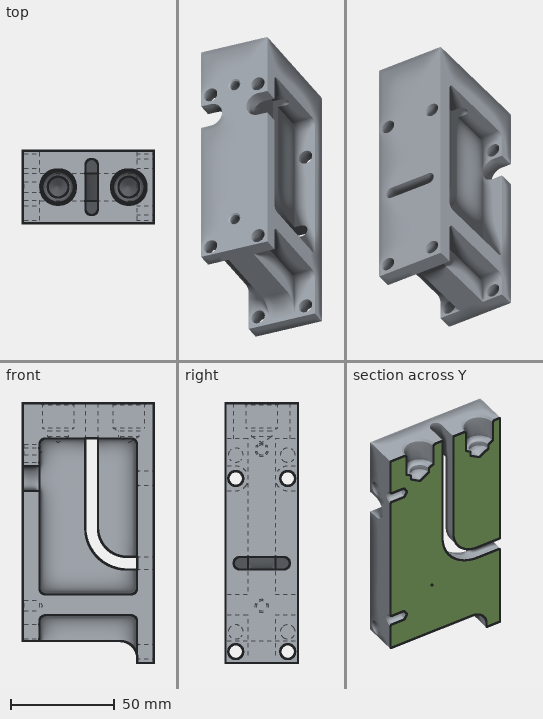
import cadquery as cq
import math

length = 63.0
depth = 35.0
height = 125.0
step_height = 10.5

wall = 8.0
web_thickness = 13.2
pocket_bottom = 33.0
pocket_top = 108.0
recess_top = 23.0
pocket_corner_radius = 3.0
web_foot_radius = 8.0

slot_width = 6.0
slot_span = 27.0
slot_x = 33.1
slot_exit_z = 48.0
slot_bend_radius = 17.0

screw_diameter = 7.0
screw_y = 12.5
left_screw_heights = (15.0, 100.0)
right_screw_heights = (5.5, 88.8)
notch_diameter = 12.0

drill_tip_half_angle = math.radians(59)
tapped_diameter = 5.0
tapped_mouth_diameter = 6.4
tapped_depth = 8.0
tapped_heights = (27.5, 102.5)
socket_diameter = 15.1
socket_mouth_diameter = 17.1
socket_depth = 12.0
socket_pilot_diameter = 10.0
socket_pilot_depth = 16.0
socket_positions = (17.0, 51.0)

right_wall_x = length - wall
pocket_depth = (depth - web_thickness) / 2


def box(x_min, x_max, y_min, y_max, z_min, z_max):
    """Box given by its limits along each axis."""
    size = (x_max - x_min, y_max - y_min, z_max - z_min)
    return cq.Workplane("XY").box(*size, centered=False).translate((x_min, y_min, z_min))


def tip_length(diameter):
    """Length of the conical drill tip for a hole of this diameter."""
    return diameter / 2 / math.tan(drill_tip_half_angle)


def make_body():
    """Block with a stepped underside and a rounded web foot by the right wall."""
    body = box(0, length, -depth / 2, depth / 2, step_height, height)
    right_wall = box(right_wall_x, length, -depth / 2, depth / 2, 0, height)
    foot = (
        cq.Workplane("XZ", origin=(0, web_thickness / 2, 0))
        .moveTo(right_wall_x - web_foot_radius, step_height)
        .radiusArc((right_wall_x, step_height - web_foot_radius), web_foot_radius)
        .lineTo(right_wall_x, step_height)
        .close()
        .extrude(web_thickness)
    )
    return body.union(right_wall).union(foot)


def make_pockets():
    """Upper pockets and open lower recesses on both sides of the web."""
    upper = box(wall, right_wall_x, web_thickness / 2, depth / 2, pocket_bottom, pocket_top)
    upper = upper.edges("|Y").fillet(pocket_corner_radius)
    lower = box(wall, right_wall_x, web_thickness / 2, depth / 2, 0, recess_top)
    lower = lower.edges("|Y and >Z").fillet(pocket_corner_radius)
    back = upper.union(lower)
    return back.union(back.mirror("XZ"))


def make_curved_slot():
    """Round-ended slot swept down from the top and out through the right wall."""
    bend_x = slot_x + slot_bend_radius
    bend_z = slot_exit_z + slot_bend_radius
    path = (
        cq.Workplane("XZ")
        .moveTo(slot_x, height)
        .lineTo(slot_x, bend_z)
        .radiusArc((bend_x, slot_exit_z), -slot_bend_radius)
        .lineTo(length, slot_exit_z)
    )
    return (
        cq.Workplane("XY", origin=(slot_x, 0, height))
        .slot2D(slot_span, slot_width, 90)
        .sweep(path)
    )


def cross_hole(diameter, x_start, y, z):
    """Cylinder along X through one wall."""
    return cq.Workplane("YZ", origin=(x_start, y, z)).circle(diameter / 2).extrude(wall)


def make_screw_holes_and_notches():
    """Holes in both walls, with notches giving access to the upper right ones."""
    cuts = cq.Workplane("XY")
    for side in (-1, 1):
        y = side * screw_y
        for z in left_screw_heights:
            cuts = cuts.union(cross_hole(screw_diameter, 0, y, z))
        for z in right_screw_heights:
            cuts = cuts.union(cross_hole(screw_diameter, right_wall_x, y, z))
        notch_z = right_screw_heights[-1]
        edge_y = side * depth / 2
        opening = box(
            0, wall, min(y, edge_y), max(y, edge_y),
            notch_z - notch_diameter / 2, notch_z + notch_diameter / 2,
        )
        cuts = cuts.union(cross_hole(notch_diameter, 0, y, notch_z)).union(opening)
    return cuts


def make_tapped_hole():
    """Chamfered blind hole with a drill tip, pointing down from the origin."""
    radius = tapped_diameter / 2
    mouth_radius = tapped_mouth_diameter / 2
    profile = [
        (0, 0),
        (mouth_radius, 0),
        (radius, radius - mouth_radius),
        (radius, -tapped_depth),
        (0, -tapped_depth - tip_length(tapped_diameter)),
    ]
    return cq.Workplane("XZ").polyline(profile).close().revolve(360, (0, 0), (0, 1))


def make_socket():
    """Chamfered socket with a conical floor and a pilot hole, down from the origin."""
    radius = socket_diameter / 2
    mouth_radius = socket_mouth_diameter / 2
    pilot_radius = socket_pilot_diameter / 2
    floor_drop = tip_length(socket_diameter) - tip_length(socket_pilot_diameter)
    profile = [
        (0, 0),
        (mouth_radius, 0),
        (radius, radius - mouth_radius),
        (radius, -socket_depth),
        (pilot_radius, -socket_depth - floor_drop),
        (pilot_radius, -socket_pilot_depth),
        (0, -socket_pilot_depth - tip_length(socket_pilot_diameter)),
    ]
    return cq.Workplane("XZ").polyline(profile).close().revolve(360, (0, 0), (0, 1))


result = make_body().cut(make_pockets()).cut(make_curved_slot()).cut(make_screw_holes_and_notches())

tapped_hole = make_tapped_hole().rotate((0, 0, 0), (0, 1, 0), -90)
for z in tapped_heights:
    result = result.cut(tapped_hole.translate((0, 0, z)))

socket = make_socket()
for x in socket_positions:
    result = result.cut(socket.translate((x, 0, height)))